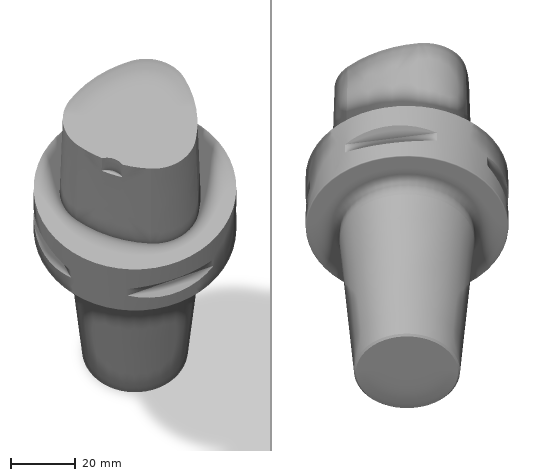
import cadquery as cq
import math

total_height = 123.0

shank_height = 37.9
lobe_reach = 23.5
flank_reach = 20.2
lobe_radius = 14.3
shank_draft = math.degrees(math.atan(1 / 40))
lobe_count = 3

key_radius = 5.5
key_height = 6.4
key_floor_y = -18.0

flange_diameter = 63.0
flange_height = 21.8
flange_edge_radius = 0.4
notch_count = 4
notch_floor_distance = 27.9
notch_floor_height = 3.5
notch_side_angle = 30.0
notch_center_z = -12.0

neck_diameter = 42.0
neck_height = 6.4
neck_fillet = 2.3
nose_end_diameter = 33.0
nose_edge_chamfer = 0.6


def polar(radius, angle):
    return radius * math.cos(angle), radius * math.sin(angle)


def make_shank():
    """Six tangent arcs, alternating lobes and flanks, drawn in towards the top."""
    sector = 2 * math.pi / lobe_count
    lobe_center = lobe_reach - lobe_radius
    across = lobe_center * math.sin(sector / 2)
    along = lobe_center * math.cos(sector / 2)
    gap = flank_reach - lobe_radius
    flank_center = (across**2 + along**2 - gap**2) / (2 * (gap - along))
    flank_radius = flank_center + flank_reach
    half_flank_angle = math.atan2(across, flank_center + along)
    joint_across = flank_radius * math.sin(half_flank_angle)
    joint_along = flank_radius * math.cos(half_flank_angle) - flank_center
    joint_radius = math.hypot(joint_across, joint_along)
    joint_offset = sector / 2 - math.atan2(joint_across, joint_along)

    first_lobe = math.pi / 2
    outline = cq.Workplane("XY").moveTo(*polar(joint_radius, first_lobe - joint_offset))
    for index in range(lobe_count):
        lobe = first_lobe + index * sector
        next_lobe = lobe + sector
        outline = outline.threePointArc(polar(lobe_reach, lobe), polar(joint_radius, lobe + joint_offset))
        outline = outline.threePointArc(
            polar(flank_reach, lobe + sector / 2),
            polar(joint_radius, next_lobe - joint_offset),
        )
    return outline.close().extrude(shank_height, taper=shank_draft)


def make_keyway():
    """Round-walled pocket whose axis lies outside the flank."""
    return (
        cq.Workplane("XY", origin=(0, key_floor_y - key_radius, shank_height - key_height))
        .circle(key_radius)
        .extrude(key_height)
    )


def make_flange():
    return (
        cq.Workplane("XY")
        .circle(flange_diameter / 2)
        .extrude(-flange_height)
        .faces("<Z")
        .edges()
        .fillet(flange_edge_radius)
    )


def make_notch(angle):
    """Straight trapezoidal groove, widening outwards from its flat floor."""
    outer = flange_diameter / 2 + 1.2
    floor_half = notch_floor_height / 2
    depth = outer - notch_floor_distance
    outer_half = floor_half + depth * math.tan(math.radians(notch_side_angle))
    return (
        cq.Workplane("XZ")
        .moveTo(notch_floor_distance, notch_center_z - floor_half)
        .lineTo(outer, notch_center_z - outer_half)
        .lineTo(outer, notch_center_z + outer_half)
        .lineTo(notch_floor_distance, notch_center_z + floor_half)
        .close()
        .extrude(flange_diameter / 2, both=True)
        .rotate((0, 0, 0), (0, 0, 1), angle)
    )


def make_nose():
    neck_radius = neck_diameter / 2
    end_radius = nose_end_diameter / 2
    bottom_z = shank_height - total_height
    fillet_end_z = -flange_height - neck_fillet
    fillet_middle = neck_fillet * (1 - math.sqrt(0.5))
    return (
        cq.Workplane("XZ")
        .moveTo(0, -flange_height)
        .lineTo(neck_radius + neck_fillet, -flange_height)
        .threePointArc(
            (neck_radius + fillet_middle, -flange_height - fillet_middle),
            (neck_radius, fillet_end_z),
        )
        .lineTo(neck_radius, -flange_height - neck_height)
        .lineTo(end_radius, bottom_z + nose_edge_chamfer)
        .lineTo(end_radius - nose_edge_chamfer, bottom_z)
        .lineTo(0, bottom_z)
        .close()
        .revolve(360, (0, 0, 0), (0, 1, 0))
    )


flange = make_flange()
for index in range(notch_count):
    flange = flange.cut(make_notch((index + 0.5) * 360 / notch_count))

shank = make_shank().cut(make_keyway())
result = flange.union(shank).union(make_nose())